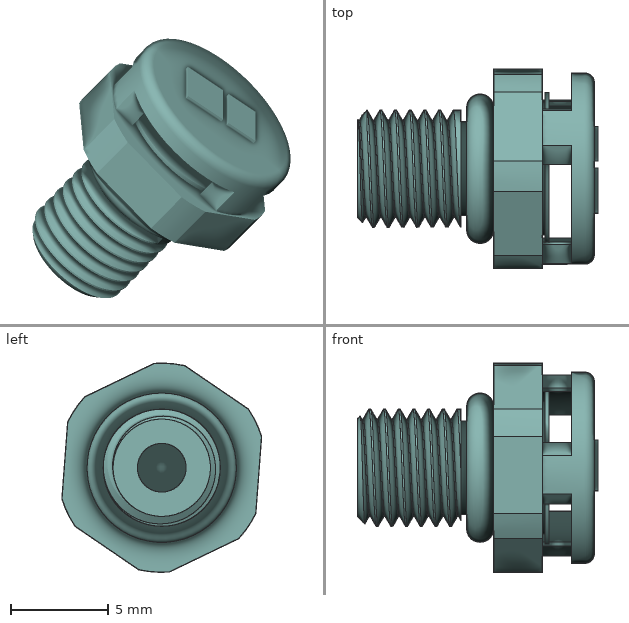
import cadquery as cq
import math


thread_end = 5.32
hex_start = 7.0
hex_end = 9.5
seat_end = 9.64
membrane_end = 9.85
cap_disc_start = 11.0
cap_disc_end = 12.17
total_length = 12.37

bore_radius = 1.25
root_radius = 2.5
crest_radius = 3.0
pitch = 0.75
crest_width = pitch / 8
flank_half_angle = 30.0
first_crest = 0.64
groove_start = first_crest - 1.5 * pitch
groove_turns = 7.6
tip_chamfer = crest_radius - root_radius
neck_radius = 2.41
hex_across_flats = 10.0
hex_corner_diameter = 10.75
seat_radius = 3.41
flat_tilt = 4.3

ring_inner_radius = 2.45
ring_section_radius = 0.69

membrane_radius = 3.92
cap_radius = 4.91
cap_fillet = 0.5
vent_count = 3
vent_flat_distance = 3.27
vent_width = 4.97

pad_spans = [(-2.29, 0.04), (0.4, 2.18)]
pad_bottom = -1.19
pad_top = 1.43


def disc(start, end, radius):
    """Cylinder on the X axis between two stations."""
    return cq.Workplane("YZ", origin=(start, 0, 0)).circle(radius).extrude(end - start)


def make_thread_groove():
    """Right-handed V groove that runs in over the tip and stops just before the neck."""
    overshoot = 0.031
    flank_slope = math.tan(math.radians(flank_half_angle))
    half_mouth = (pitch - crest_width) / 2
    half_root = half_mouth - (crest_radius - root_radius) * flank_slope
    half_outer = half_mouth + overshoot * flank_slope
    outer_radius = crest_radius + overshoot

    helix = cq.Wire.makeHelix(pitch, groove_turns * pitch, root_radius)
    return (
        cq.Workplane("XZ")
        .polyline([
            (root_radius, -half_root),
            (outer_radius, -half_outer),
            (outer_radius, half_outer),
            (root_radius, half_root),
        ])
        .close()
        .sweep(cq.Workplane(helix), isFrenet=True)
        .rotate((0, 0, 0), (1, 1, 1), 120)
        .rotate((0, 0, 0), (1, 0, 0), 90)
        .translate((groove_start, 0, 0))
    )


def make_thread():
    """Threaded shank with a chamfered tip."""
    shank = disc(0, thread_end, crest_radius).faces("<X").chamfer(tip_chamfer)
    return shank.cut(make_thread_groove())


def make_hexagon():
    """Hexagonal flange with its corners turned down to a circle."""
    length = hex_end - hex_start
    hexagon = (
        cq.Workplane("YZ", origin=(hex_start, 0, 0))
        .polygon(6, hex_across_flats, circumscribed=True)
        .extrude(length)
        .rotate((0, 0, 0), (1, 0, 0), flat_tilt)
    )
    return hexagon.intersect(disc(hex_start, hex_end, hex_corner_diameter / 2))


def make_housing():
    housing = make_thread()
    housing = housing.union(disc(thread_end, hex_start, neck_radius))
    housing = housing.union(make_hexagon())
    housing = housing.union(disc(hex_end, seat_end, seat_radius))
    return housing.cut(disc(0, seat_end, bore_radius))


def make_o_ring():
    """O-ring around the neck, resting against the hexagon."""
    ring_radius = ring_inner_radius + ring_section_radius
    center = cq.Vector(hex_start - ring_section_radius, 0, 0)
    axis = cq.Vector(1, 0, 0)
    return cq.Workplane(cq.Solid.makeTorus(ring_radius, ring_section_radius, center, axis))


def make_membrane():
    return disc(seat_end, membrane_end, membrane_radius)


def make_vent(angle):
    """Cutter for one side opening: a flat across the wall and a window into the cavity."""
    length = cap_disc_start - hex_end
    middle = (hex_end + cap_disc_start) / 2
    flat = cq.Workplane("XY").box(length, cap_radius, 2 * cap_radius)
    flat = flat.translate((middle, vent_flat_distance + cap_radius / 2, 0))
    window = cq.Workplane("XY").box(length, cap_radius, vent_width)
    window = window.translate((middle, cap_radius / 2, 0))
    return flat.union(window).rotate((0, 0, 0), (1, 0, 0), angle)


def make_cap():
    """Round cap standing on three legs, with raised pads on its end."""
    cap = disc(hex_end, cap_disc_end, cap_radius).faces(">X").edges().fillet(cap_fillet)
    cap = cap.cut(disc(hex_end, cap_disc_start, membrane_radius))
    for i in range(vent_count):
        cap = cap.cut(make_vent(flat_tilt + i * 360 / vent_count))
    for low, high in pad_spans:
        pad = cq.Workplane("XY").box(
            total_length - cap_disc_end, high - low, pad_top - pad_bottom, centered=False
        )
        cap = cap.union(pad.translate((cap_disc_end, low, pad_bottom)))
    return cap


housing = make_housing()
o_ring = make_o_ring()
membrane = make_membrane()
cap = make_cap()

result = cq.Compound.makeCompound([housing.val(), o_ring.val(), membrane.val(), cap.val()])